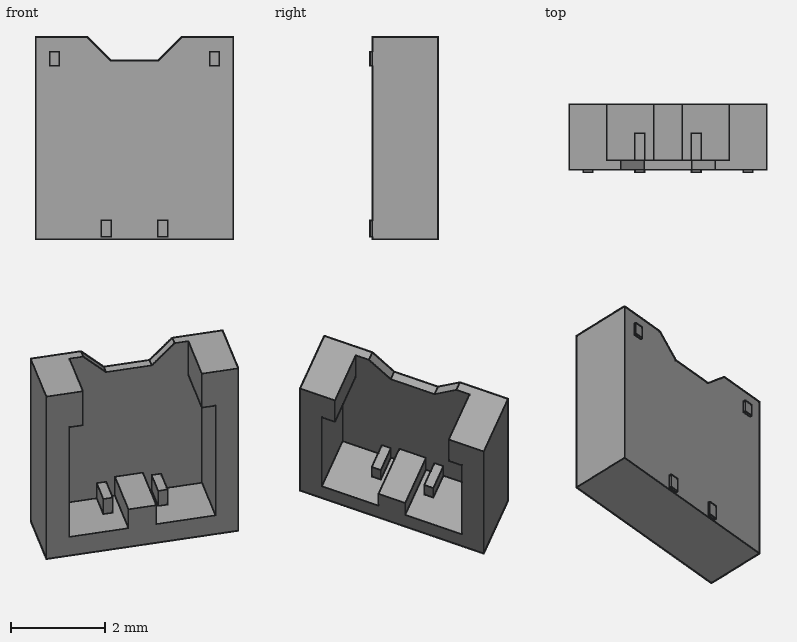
import cadquery as cq

width = 4.2
height = 4.3
total_depth = 1.45
pad_thickness = 0.05
depth = total_depth - pad_thickness

floor_thickness = 0.2
opening_width = 2.6
cavity_width = 3.2
opening_height = 0.9
bottom_wall = 0.5

notch_top_width = 2.0
notch_bottom_width = 1.0
notch_depth = 0.5

divider_width = 0.61
divider_length = 0.5
contact_width = 0.205
contact_spacing = 1.2
contact_height = 0.58
contact_length = 0.4

anchor_spacing = 3.4
anchor_length = 0.305
anchor_top_gap = 0.31
pad_length = 0.353
pad_bottom_gap = 0.05


def block(center_x, size_x, y_min, y_max, z_min, z_max):
    """Box centred on center_x, spanning the given Y and Z limits."""
    return cq.Workplane("XY").box(
        size_x, y_max - y_min, z_max - z_min, centered=(True, False, False)
    ).translate((center_x, y_min, z_min))


def floor_notch():
    """Trapezoidal cut through the top edge of the floor plate."""
    return (
        cq.Workplane("XZ")
        .moveTo(-notch_top_width / 2, height)
        .lineTo(-notch_bottom_width / 2, height - notch_depth)
        .lineTo(notch_bottom_width / 2, height - notch_depth)
        .lineTo(notch_top_width / 2, height)
        .close()
        .extrude(-depth)
    )


lip_bottom = height - opening_height
housing = block(0, width, 0, depth, 0, height)
housing = housing.cut(block(0, cavity_width, floor_thickness, depth, bottom_wall, lip_bottom))
housing = housing.cut(block(0, opening_width, floor_thickness, depth, lip_bottom, height))
housing = housing.cut(floor_notch())

result = housing.union(
    block(0, divider_width, floor_thickness, depth, bottom_wall, bottom_wall + divider_length)
)

contact_tip = floor_thickness + contact_height
anchor_top = height - anchor_top_gap
for side in (-1, 1):
    contact_x = side * contact_spacing / 2
    anchor_x = side * anchor_spacing / 2
    result = result.union(
        block(contact_x, contact_width, floor_thickness, contact_tip,
              bottom_wall, bottom_wall + contact_length)
    )
    result = result.union(
        block(contact_x, contact_width, -pad_thickness, 0, pad_bottom_gap, pad_bottom_gap + pad_length)
    )
    result = result.union(
        block(anchor_x, contact_width, -pad_thickness, 0, anchor_top - anchor_length, anchor_top)
    )